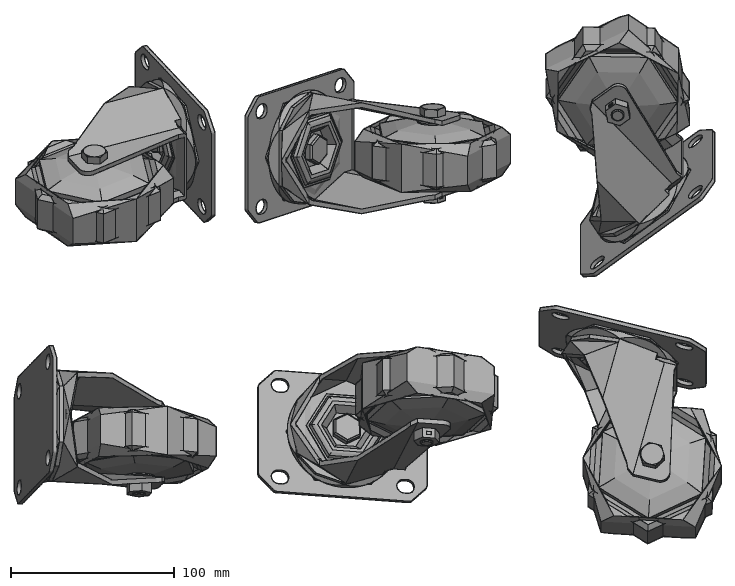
import cadquery as cq
import math


plate_length = 105.2
plate_width = 80.0
plate_thickness = 2.5
plate_corner_cut = 10.2
plate_corner_round = 2.6
slot_spacing_x = 78.2
slot_spacing_z = 60.5
slot_length = 10.8
slot_width = 9.0
boss_radius = 35.5
boss_bottom = 3.7

race_top = 4.8
race_bottom = 9.3
bowl_radius = 35.2
neck_radius = 34.6
neck_bottom = 11.8
floor_drop = 1.3
floor_depth = neck_bottom + floor_drop
sheet = 2.9
leg_outer_z = 23.9
leg_bend_x = 29.5
wall_bend_x = 23.9
wall_bend_z = 26.0
rear_angle = 122
neck_angle = 150
rear_tip_depth = 14.7
rear_corner_depth = 23.3
leg_bottom = 89.1
leg_bend_chamfer = 4.0
ridge_base_radius = 29.5
ridge_top_radius = 25.8
ridge_top = 14.0

cup_seat_radius = 19.2
cup_flange_radius = 25.2
cup_flange_bottom = 14.8
cup_recess_floor = 12.4
cup_recess_floor_radius = 12.2
kingpin_head_radius = 9.5
kingpin_end = 17.0
kingpin_chamfer = 1.0
kingpin_shank_radius = 6.0

axle_x = 37.9
axle_depth = 75.0
wheel_phase = 11.1
core_phase = wheel_phase + 30
tread_edge_radius = 42.4
tread_edge_z = 15.3
tread_crown_radius = 48.4
tread_crown_z = 9.1
tread_crown_turn = 53.2
tread_lip = 0.4
rim_radius = 43.9
rim_flat_z = 10.5
rim_edge_radius = 40.3
rim_edge_z = 13.0
groove_bottom_radius = 36.5
groove_bottom_z = 9.9
groove_top_radius = 43.9
cap_edge_z = 14.0
cap_shoulder_radius = 25.8
cap_shoulder_z = 17.3
hub_radius = 11.9
hub_z = 19.5

washer_radius = 9.5
washer_thickness = 0.8
bolt_radius = 4.0
bolt_head_radius = 7.9
bolt_head_end = 29.0
bolt_head_chamfer = 1.0
nut_end = 30.3
bolt_end = 31.5
bolt_end_chamfer = 0.7
nut_mark_length = 3.0
nut_mark_width = 2.0
nut_mark_depth = 0.4

swivel = cq.Plane.XZ()
wheel = cq.Plane(origin=(axle_x, -axle_depth, 0))


def polar(radius, degrees):
    angle = math.radians(degrees)
    return radius * math.cos(angle), radius * math.sin(angle)


def frustum(plane, radius_a, height_a, radius_b, height_b, phase):
    """Six-sided frustum between two heights; `phase` is the direction of a corner."""
    wires = []
    for radius, height in ((radius_a, height_a), (radius_b, height_b)):
        corners = [polar(radius, phase + 60 * i) for i in range(6)]
        points = [plane.toWorldCoords((u, v, height)) for u, v in corners]
        wires.append(cq.Wire.makePolygon(points, close=True))
    return cq.Workplane(obj=cq.Solid.makeLoft(wires, True))


def prism(plane, radius, height_a, height_b, phase):
    return frustum(plane, radius, height_a, radius, height_b, phase)


def cylinder(plane, radius, height_a, height_b):
    return cq.Workplane(plane).workplane(offset=height_a).circle(radius).extrude(height_b - height_a)


def polyhedron(faces):
    """Solid bounded by flat faces, each given as a list of corners."""
    flat = [cq.Face.makeFromWires(cq.Wire.makePolygon(face, close=True)) for face in faces]
    return cq.Workplane(obj=cq.Solid.makeSolid(cq.Shell.makeShell(flat)))


def cut_both_sides(body, cuts):
    """Take each cut, and its mirror image at -Z, out of the body."""
    for cut in cuts:
        body = body.cut(cut).cut(cut.mirror("XY"))
    return body


def make_plate():
    plate = (
        cq.Workplane(swivel)
        .rect(plate_length, plate_width)
        .extrude(plate_thickness)
        .edges("|Y")
        .chamfer(plate_corner_cut)
        .edges("|Y")
        .fillet(plate_corner_round)
    )
    slots = (
        cq.Workplane(swivel)
        .rect(slot_spacing_x, slot_spacing_z, forConstruction=True)
        .vertices()
        .slot2D(slot_length, slot_width)
        .extrude(plate_thickness)
    )
    boss = prism(swivel, boss_radius, plate_thickness, boss_bottom, 0)
    return plate.cut(slots).union(boss)


def bowl_and_legs(radius, inset, top_depth):
    """Faceted bowl with a sloped rear, tapering into two legs; `inset` moves the walls inwards."""
    open_end_x = 59.5
    upper = [
        polar(radius, neck_angle),
        polar(radius, rear_angle),
        (0, radius),
        (wall_bend_x, wall_bend_z - inset),
        (leg_bend_x, leg_outer_z - inset),
        (open_end_x, leg_outer_z - inset),
    ]
    lower = [(x, -z) for x, z in reversed(upper)]
    body = cq.Workplane(swivel).polyline([(-radius, 0)] + upper + lower).close().extrude(leg_bottom)
    return cut_both_sides(body, rear_facet_cuts(radius, top_depth))


def fork_side():
    """Fork seen along the axle, as (x, depth) turned into X and Y."""
    rear_x = polar(bowl_radius, neck_angle)[0]
    rear_corner_x = polar(bowl_radius, rear_angle)[0]
    rear = [
        (rear_x, race_bottom),
        (rear_x, neck_bottom),
        (-bowl_radius, rear_tip_depth),
        (rear_corner_x, rear_corner_depth),
        (0, 49.5),
        (wall_bend_x, 83.0),
        (25.5, 86.5),
        (leg_bend_x, leg_bottom),
        (45.0, leg_bottom),
    ]
    toe_middle = (49.3, 87.4)
    toe_end = (51.0, 82.3)
    front = [(36.5, 17.2), (37.1, neck_bottom), (32.1, race_bottom)]
    return (
        cq.Workplane("XY")
        .polyline([(x, -depth) for x, depth in rear])
        .threePointArc((toe_middle[0], -toe_middle[1]), (toe_end[0], -toe_end[1]))
        .lineTo(front[0][0], -front[0][1])
        .lineTo(front[1][0], -front[1][1])
        .lineTo(front[2][0], -front[2][1])
        .close()
        .extrude(bowl_radius, both=True)
    )


def rear_facet_cuts(radius, top_depth):
    """Wedges at +Z that slope the rear of a bowl of this radius, from its top out to the rim."""
    tip_depth = top_depth + rear_tip_depth - neck_bottom
    rim_depth = top_depth + rear_corner_depth - neck_bottom
    tip = (-radius, 0)
    side = (0, radius)
    neck = polar(radius, neck_angle)
    rim = polar(radius, rear_angle)
    wedges = [
        [(neck, top_depth), (tip, tip_depth), (rim, rim_depth), (neck, rim_depth)],
        [(neck, top_depth), (side, top_depth), (rim, rim_depth), (rim, top_depth)],
    ]
    cuts = []
    for wedge in wedges:
        corners = [swivel.toWorldCoords((x, z, depth)) for (x, z), depth in wedge]
        cuts.append(polyhedron([corners[:i] + corners[i + 1 :] for i in range(4)]))
    return cuts


def leg_bend_cut():
    """Bevel where the flat leg at +Z turns into the fork floor."""
    length = 15.9
    return (
        cq.Workplane("YZ", origin=(wall_bend_x, 0, 0))
        .moveTo(-race_bottom, leg_outer_z - leg_bend_chamfer)
        .lineTo(-race_bottom - leg_bend_chamfer, leg_outer_z)
        .lineTo(-race_bottom - leg_bend_chamfer, wall_bend_z)
        .lineTo(-race_bottom, wall_bend_z)
        .close()
        .extrude(length)
    )


def make_fork():
    inner_radius = bowl_radius - sheet / math.cos(math.radians((180 - neck_angle) / 2))
    shell = bowl_and_legs(bowl_radius, 0, neck_bottom)
    cavity = bowl_and_legs(inner_radius, sheet, floor_depth)
    floor = cylinder(swivel, 2 * bowl_radius, 0, floor_depth)
    fork = shell.cut(cavity.cut(floor)).intersect(fork_side())
    fork = cut_both_sides(fork, [leg_bend_cut()])

    race_taper = frustum(
        swivel, bowl_radius / math.cos(math.radians(30)), race_top, bowl_radius, race_bottom, 90
    )
    race = cylinder(swivel, bowl_radius, race_top, race_bottom).intersect(race_taper)
    neck = prism(swivel, neck_radius, race_bottom, neck_bottom, 90)
    ridge = frustum(swivel, ridge_base_radius, floor_depth, ridge_top_radius, ridge_top, 90)
    fork = fork.union(race).union(neck).union(ridge)

    fork = fork.cut(cylinder(swivel, cup_seat_radius, neck_bottom, ridge_top))
    fork = fork.cut(cylinder(swivel, kingpin_shank_radius, race_top, neck_bottom))
    axle_hole = cylinder(wheel, bolt_radius, -leg_outer_z, leg_outer_z)
    return fork.cut(axle_hole)


def make_cup():
    outer = [(23.7, cup_flange_bottom), (22.5, 16.5), (20.6, 17.3), (18.8, 17.7)]
    lip_radius = 16.3
    lip_depth = 17.3
    cup = cylinder(swivel, cup_seat_radius, neck_bottom, ridge_top)
    cup = cup.union(prism(swivel, cup_flange_radius, ridge_top, cup_flange_bottom, 0))
    for (radius_a, depth_a), (radius_b, depth_b) in zip(outer[:-1], outer[1:]):
        cup = cup.union(frustum(swivel, radius_a, depth_a, radius_b, depth_b, 0))
    crest_radius, crest_depth = outer[-1]
    cup = cup.cut(frustum(swivel, lip_radius, lip_depth, crest_radius, crest_depth, 0))
    cup = cup.cut(
        frustum(swivel, cup_recess_floor_radius, cup_recess_floor, lip_radius, lip_depth, 0)
    )
    return cup.cut(cylinder(swivel, kingpin_shank_radius, neck_bottom, cup_recess_floor))


def make_kingpin():
    shoulder = kingpin_end - kingpin_chamfer
    head = prism(swivel, kingpin_head_radius, cup_recess_floor, shoulder, 90)
    tip = frustum(
        swivel, kingpin_head_radius, shoulder, kingpin_head_radius - kingpin_chamfer, kingpin_end, 90
    )
    shank = cylinder(swivel, kingpin_shank_radius, boss_bottom, cup_recess_floor)
    return head.union(tip).union(shank)


def make_core():
    half = prism(wheel, rim_radius, 0, rim_flat_z, core_phase)
    half = half.union(
        frustum(wheel, rim_radius, rim_flat_z, rim_edge_radius, rim_edge_z, core_phase)
    )
    half = half.cut(make_groove())
    half = half.union(prism(wheel, groove_bottom_radius, 0, cap_edge_z, core_phase))
    half = half.union(
        frustum(wheel, groove_bottom_radius, cap_edge_z, cap_shoulder_radius, cap_shoulder_z, core_phase)
    )
    half = half.union(
        frustum(wheel, cap_shoulder_radius, cap_shoulder_z, hub_radius, hub_z, core_phase)
    )
    core = half.union(half.mirror("XY"))
    return core.cut(cylinder(wheel, bolt_radius, -hub_z, hub_z))


def make_groove():
    """Sloped recess around the +Z cap, inside the edge of the tread."""
    slope = frustum(
        wheel, groove_bottom_radius, groove_bottom_z, groove_top_radius, tread_edge_z, core_phase
    )
    limit = prism(wheel, tread_edge_radius - tread_lip, 0, tread_edge_z, wheel_phase)
    return slope.intersect(limit)


def tread_blank():
    """Faceted tyre: a hexagonal edge and four crown corners on each side of the middle plane."""
    edge_turns = [60 * i for i in range(7)]
    crown_turns = [tread_crown_turn, 180 - tread_crown_turn, 180 + tread_crown_turn, 360 - tread_crown_turn]

    def corners(turns, radius, z):
        flat = [polar(radius, wheel_phase + turn) for turn in turns]
        return [wheel.toWorldCoords((x, y, z)) for x, y in flat]

    faces = []
    outlines = []
    for side in (1, -1):
        edge = corners(edge_turns, tread_edge_radius, side * tread_edge_z)
        crown = corners(crown_turns, tread_crown_radius, side * tread_crown_z)
        faces.append(edge[:6])
        for half in (0, 1):
            start, near, far, end = edge[3 * half : 3 * half + 4]
            near_crown, far_crown = crown[2 * half : 2 * half + 2]
            faces.append([start, near, near_crown])
            faces.append([near, far, far_crown, near_crown])
            faces.append([far, end, far_crown])
        outlines.append([edge[0], *crown[:2], edge[3], *crown[2:]])

    upper, lower = outlines
    for i in range(6):
        j = (i + 1) % 6
        faces.append([upper[i], upper[j], lower[j], lower[i]])
    return polyhedron(faces)


def make_tread(core):
    tread = tread_blank()
    groove = make_groove()
    cap_opening = prism(wheel, groove_bottom_radius, -tread_edge_z, tread_edge_z, core_phase)
    limit = prism(wheel, tread_edge_radius - tread_lip, -tread_edge_z, tread_edge_z, wheel_phase)
    tread = tread.cut(groove).cut(groove.mirror("XY"))
    return tread.cut(cap_opening.intersect(limit)).cut(core)


def make_washer(side):
    washer = cylinder(wheel, washer_radius, hub_z, hub_z + washer_thickness)
    washer = washer.cut(cylinder(wheel, bolt_radius, hub_z, hub_z + washer_thickness))
    return washer if side > 0 else washer.mirror("XY")


def make_bolt():
    shank = cylinder(wheel, bolt_radius, -bolt_end, leg_outer_z).faces("<Z").chamfer(bolt_end_chamfer)
    head = prism(wheel, bolt_head_radius, leg_outer_z, bolt_head_end, 0)
    rounding = (
        cylinder(wheel, bolt_head_radius, leg_outer_z, bolt_head_end)
        .faces(">Z")
        .chamfer(bolt_head_chamfer / 2, bolt_head_chamfer)
    )
    return shank.union(head.intersect(rounding))


def make_nut():
    nut = prism(wheel, bolt_head_radius, -nut_end, -leg_outer_z, 0)
    nut = nut.cut(cylinder(wheel, bolt_radius, -nut_end, -leg_outer_z))
    flat_depth = axle_depth + bolt_head_radius * math.cos(math.radians(30))
    mark = cq.Workplane("XY").box(nut_mark_length, 2 * nut_mark_depth, nut_mark_width)
    return nut.cut(mark.translate((axle_x, -flat_depth, -(nut_end + leg_outer_z) / 2)))


plate = make_plate()
fork = make_fork()
cup = make_cup()
kingpin = make_kingpin()
core = make_core()
tread = make_tread(core)
bolt = make_bolt()
nut = make_nut()
washers = [make_washer(side) for side in (1, -1)]

result = cq.Compound.makeCompound(
    [
        plate.val(),
        fork.val(),
        cup.val(),
        kingpin.val(),
        core.val(),
        tread.val(),
        bolt.val(),
        nut.val(),
        *[washer.val() for washer in washers],
    ]
)